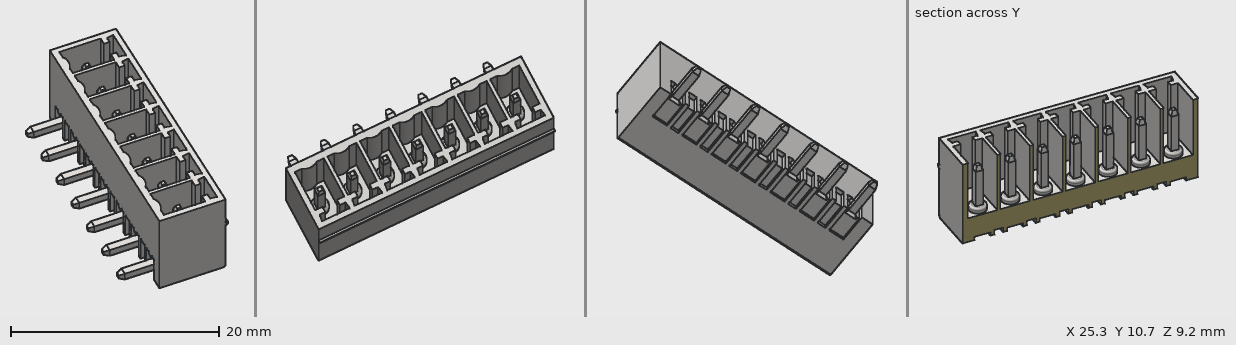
import cadquery as cq


pin_count = 7
pitch = 3.5
pin_xs = [(i - (pin_count - 1) / 2) * pitch for i in range(pin_count)]
gap_xs = [x + pitch / 2 for x in pin_xs[:-1]]

housing_length = 25.3
housing_depth = 7.0
housing_height = 9.2
rear_bottom_chamfer = 0.2

ridge_depth = 0.25
ridge_top_z = 6.05
ridge_lip = 0.2

cavity_floor_z = 2.8
cavity_width = 3.12
cavity_front_y = 0.75
neck_front_y = 5.1
neck_back_y = 5.7
cavity_back_y = 6.4
neck_width = 1.56
dovetail_front_width = 2.75
dovetail_back_width = 3.0
key_width = 1.6
key_height = 0.25

pin_size = 0.8
pin_tip_size = 0.42
pin_tip_length = 0.55
pin_tail_z = 1.18
pin_tail_end_y = -3.4
pin_post_y = 2.98
pin_post_top_z = 7.95

collar_diameter = 1.8
collar_edge_radius = 0.25
collar_height = 0.6

recess_height = 2.75
recess_depth = 0.45
tail_recess_width = 1.7
tail_undercut_height = 0.38
gap_recess_width = 0.92
gap_undercut_height = 0.52
undercut_end_y = 3.0
bead_radius = 0.32
relief_top_z = pin_tail_z - pin_size / 2
relief_bottom_width = 1.26
relief_depth = 0.25


def box(x, width, y0, y1, z0, z1):
    """Box centred on x, spanning y0..y1 and z0..z1."""
    block = cq.Workplane("XY").box(width, y1 - y0, z1 - z0, centered=(True, False, False))
    return block.translate((x, y0, z0))


def make_housing():
    block = box(0, housing_length, 0, housing_depth, 0, housing_height)
    block = block.faces(">Y").edges("<Z").chamfer(rear_bottom_chamfer)
    ridge = (
        cq.Workplane("YZ", origin=(-housing_length / 2, 0, 0))
        .moveTo(housing_depth, ridge_top_z)
        .lineTo(housing_depth + ridge_depth, ridge_top_z)
        .lineTo(housing_depth + ridge_depth, ridge_top_z - ridge_lip)
        .lineTo(housing_depth, ridge_top_z - ridge_lip - ridge_depth)
        .close()
        .extrude(housing_length)
    )
    return block.union(ridge)


def make_cavity(x):
    """Pocket with a dovetail keyway at the rear and a rounded key on its front wall."""
    half = cavity_width / 2
    return (
        cq.Workplane("XY", origin=(x, 0, cavity_floor_z))
        .moveTo(key_width / 2, cavity_front_y)
        .lineTo(half, cavity_front_y)
        .lineTo(half, neck_front_y)
        .lineTo(neck_width / 2, neck_front_y)
        .lineTo(neck_width / 2, neck_back_y)
        .lineTo(dovetail_front_width / 2, neck_back_y)
        .lineTo(dovetail_back_width / 2, cavity_back_y)
        .lineTo(-dovetail_back_width / 2, cavity_back_y)
        .lineTo(-dovetail_front_width / 2, neck_back_y)
        .lineTo(-neck_width / 2, neck_back_y)
        .lineTo(-neck_width / 2, neck_front_y)
        .lineTo(-half, neck_front_y)
        .lineTo(-half, cavity_front_y)
        .lineTo(-key_width / 2, cavity_front_y)
        .threePointArc((0, cavity_front_y + key_height), (key_width / 2, cavity_front_y))
        .close()
        .extrude(housing_height - cavity_floor_z)
    )


def make_relief(x):
    """Sloped relief below the pin, flaring out toward the undercut."""
    back_y = recess_depth + relief_depth
    flare = (
        cq.Workplane("XZ", origin=(x, recess_depth, 0))
        .moveTo(-pin_size / 2, relief_top_z)
        .lineTo(pin_size / 2, relief_top_z)
        .lineTo(relief_bottom_width / 2, tail_undercut_height)
        .lineTo(-relief_bottom_width / 2, tail_undercut_height)
        .close()
        .extrude(-relief_depth)
    )
    slope = (
        cq.Workplane("YZ", origin=(x - relief_bottom_width / 2, 0, 0))
        .moveTo(recess_depth, relief_top_z)
        .lineTo(recess_depth, tail_undercut_height)
        .lineTo(back_y, tail_undercut_height)
        .close()
        .extrude(relief_bottom_width)
    )
    return flare.intersect(slope)


def make_tail_recess(x):
    """Recess around a pin tail: beaded top edge, undercut foot and a flared relief below the pin."""
    recess = box(x, tail_recess_width, 0, recess_depth, 0, recess_height)
    bead = (
        cq.Workplane("XZ", origin=(x, 0, recess_height))
        .circle(bead_radius)
        .extrude(-recess_depth)
    )
    undercut = box(x, tail_recess_width, 0, undercut_end_y, 0, tail_undercut_height)
    return recess.cut(bead).union(undercut).union(make_relief(x))


def make_gap_recess(x):
    """Plain recess midway between two pins, with an undercut foot."""
    recess = box(x, gap_recess_width, 0, recess_depth, 0, recess_height)
    undercut = box(x, gap_recess_width, 0, undercut_end_y, 0, gap_undercut_height)
    return recess.union(undercut)


def make_bar(length):
    """Square bar along +Z from the origin, tapered at its far end."""
    bar = cq.Workplane("XY").rect(pin_size, pin_size).extrude(length - pin_tip_length)
    tip = (
        cq.Workplane("XY", origin=(0, 0, length - pin_tip_length))
        .rect(pin_size, pin_size)
        .workplane(offset=pin_tip_length)
        .rect(pin_tip_size, pin_tip_size)
        .loft()
    )
    return bar.union(tip)


def make_pin(x):
    """L-shaped pin: tail toward -Y, post toward +Z."""
    corner_y = pin_post_y + pin_size / 2
    corner_z = pin_tail_z - pin_size / 2
    tail = make_bar(corner_y - pin_tail_end_y).rotate((0, 0, 0), (1, 0, 0), 90)
    post = make_bar(pin_post_top_z - corner_z)
    return tail.translate((x, corner_y, pin_tail_z)).union(post.translate((x, pin_post_y, corner_z)))


def make_collar(x):
    return (
        cq.Workplane("XY", origin=(x, pin_post_y, cavity_floor_z))
        .circle(collar_diameter / 2)
        .extrude(collar_height)
        .faces(">Z")
        .edges()
        .fillet(collar_edge_radius)
    )


result = make_housing()
for x in pin_xs:
    result = result.cut(make_cavity(x)).cut(make_tail_recess(x))
for x in gap_xs:
    result = result.cut(make_gap_recess(x))
for x in pin_xs:
    result = result.union(make_collar(x)).union(make_pin(x))